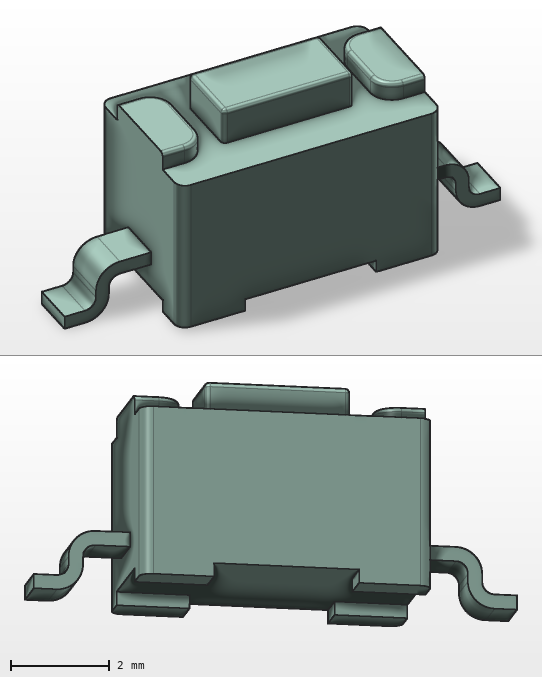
import cadquery as cq

total_length = 9.97
total_height = 4.42
body_width = 3.5
body_length = 6.0
body_height = 3.5
body_corner_radius = 0.25

channel_depth = 0.28
lengthwise_channel_width = 2.0
crosswise_channel_width = 2.99

button_width = 1.52
button_length = 2.99
button_height = 0.82
boss_width = 2.0
boss_depth = 1.0
boss_height = 0.41
boss_corner_radius = 0.5
edge_radius = 0.1

lead_width = 1.01
lead_thickness = 0.3
lead_top = 1.26
lead_foot_length = 0.47
bend_inner_radius = 0.25
bend_outer_radius = bend_inner_radius + lead_thickness

body_top = total_height - button_height
body_bottom = body_top - body_height
body_end = body_length / 2


def box_on(z, width, length, height):
    """Box centred in X and Y, standing on height z."""
    return cq.Workplane("XY").workplane(offset=z).box(
        width, length, height, centered=(True, True, False)
    )


def make_body():
    body = box_on(body_bottom, body_width, body_length, body_height)
    body = body.edges("|Z").fillet(body_corner_radius)
    lengthwise = box_on(body_bottom, lengthwise_channel_width, body_length, channel_depth)
    crosswise = box_on(body_bottom, body_width, crosswise_channel_width, channel_depth)
    return body.cut(lengthwise).cut(crosswise)


def make_button():
    button = box_on(body_top, button_width, button_length, button_height)
    return button.edges("|Z or >Z").fillet(edge_radius)


def make_boss():
    """Boss flush with the +Y end, rounded on all but its flush side."""
    boss = box_on(body_top, boss_width, boss_depth, boss_height)
    boss = boss.translate((0, body_end - boss_depth / 2, 0))
    boss = boss.edges("|Z and <Y").fillet(boss_corner_radius)
    return boss.faces(">Z").edges("not >Y").fillet(edge_radius)


def make_lead():
    """Lead on the +Y end: out of the body, down, and out again as a foot."""
    tip = total_length / 2
    foot_start = tip - lead_foot_length
    stem_outside = foot_start - bend_inner_radius
    stem_inside = stem_outside - lead_thickness
    upper_bend = stem_outside - bend_outer_radius
    lead_underside = lead_top - lead_thickness
    profile = (
        cq.Workplane("YZ")
        .moveTo(body_end, lead_top)
        .lineTo(upper_bend, lead_top)
        .tangentArcPoint((stem_outside, lead_top - bend_outer_radius), relative=False)
        .lineTo(stem_outside, bend_outer_radius)
        .tangentArcPoint((foot_start, lead_thickness), relative=False)
        .lineTo(tip, lead_thickness)
        .lineTo(tip, 0)
        .lineTo(foot_start, 0)
        .tangentArcPoint((stem_inside, bend_outer_radius), relative=False)
        .lineTo(stem_inside, lead_top - bend_outer_radius)
        .tangentArcPoint((upper_bend, lead_underside), relative=False)
        .lineTo(body_end, lead_underside)
        .close()
    )
    return profile.extrude(lead_width / 2, both=True)


result = make_body().union(make_button())
for end_feature in (make_boss(), make_lead()):
    result = result.union(end_feature).union(end_feature.mirror("XZ"))
result = result.clean()